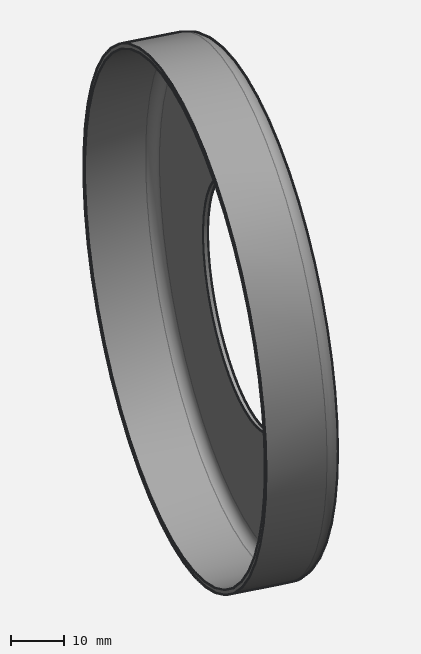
import cadquery as cq

outer_diameter = 105.0
depth = 15.0
wall = 1.0
bore_diameter = 49.0
outer_corner_radius = 3.0

inner_corner_radius = outer_corner_radius - wall


def disc(diameter, thickness, start_y):
    """Solid disc about the Y axis, growing from start_y toward +Y."""
    plane = cq.Workplane("XZ", origin=(0, start_y, 0))
    return plane.circle(diameter / 2).extrude(-thickness)


open_y = -depth / 2

body = disc(outer_diameter, depth, open_y).edges(">Y").fillet(outer_corner_radius)
cavity = disc(outer_diameter - 2 * wall, depth - wall, open_y).edges(">Y").fillet(inner_corner_radius)

bore = disc(bore_diameter, depth, open_y)

result = body.cut(cavity).cut(bore)